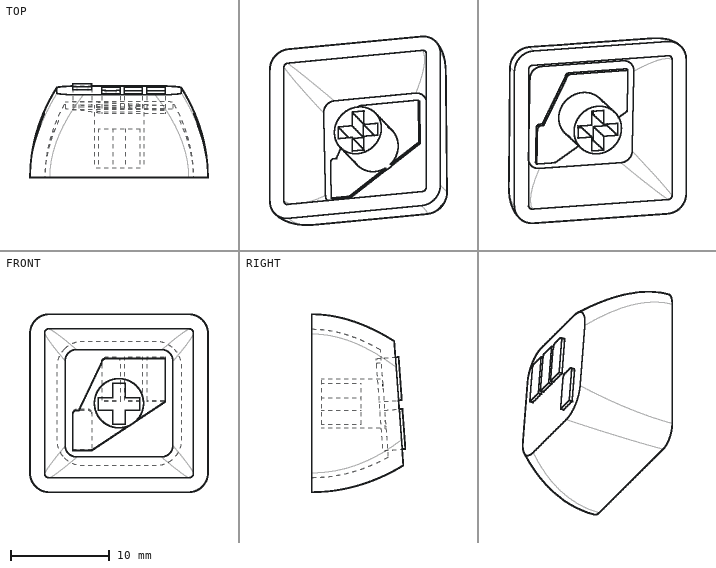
import cadquery as cq
import math

RIM_WIDTH = 18.1
RIM_CORNER = 2.0
FACE_WIDTH = 12.67
FACE_CORNER = 2.66
FACE_HEIGHT = 8.87
FACE_TILT = 4.2

WALL = 1.5
OPENING_WIDTH = RIM_WIDTH - 2 * WALL
OPENING_CORNER = 0.4
ROOF_WIDTH = 10.93
ROOF_CORNER = 1.15
ROOF_THICKNESS = WALL
ROOF_HEIGHT = FACE_HEIGHT - ROOF_THICKNESS

LOFT_STEPS = 5
NARROWING_POWER = 2
OUTSIDE_CORNER_POWER = 2
CAVITY_CORNER_POWER = 1

STEM_DIAMETER = 5.0
STEM_RECESS = 1.0
SOCKET_LENGTH = 4.16
SOCKET_WIDTH = 1.25
SOCKET_DEPTH = 3.98
SOCKET_DROP = 0.07

PLATE_THICKNESS = 0.5
BLOCK_RISE = 0.33
INLAY_SIDE = 4.7
UPPER_ROW = (0.18, 4.58)
LOWER_ROW = (-4.8, -0.7)
UPPER_BLOCKS = ((-1.77, 0.13), (0.52, 2.37), (2.82, INLAY_SIDE))
LOWER_BLOCKS = ((-INLAY_SIDE, -2.79),)
UPPER_ROUND = 0.45
LOWER_ROUND = 0.4
LEDGE_END = -4.07


def tilted_workplane(height, tilt):
    """Workplane across the centre line that faces the rim, with local x along +X and local y up."""
    lean = math.radians(tilt)
    return cq.Workplane(
        cq.Plane(
            origin=(0, height, 0),
            xDir=(1, 0, 0),
            normal=(0, -math.cos(lean), -math.sin(lean)),
        )
    )


def curved_loft(height, start_width, end_width, start_corner, end_corner, corner_power):
    """Solid from the rim to a tilted end, narrowing along a parabola, with changing corners."""
    sections = []
    for step in range(LOFT_STEPS + 1):
        rise = step / LOFT_STEPS
        width = start_width + (end_width - start_width) * rise**NARROWING_POWER
        corner = start_corner + (end_corner - start_corner) * rise**corner_power
        square = tilted_workplane(height * rise, FACE_TILT * rise).rect(width, width).val()
        sections.append(square.fillet2D(corner, square.Vertices()))
    return cq.Workplane(cq.Solid.makeLoft(sections))


def make_block(left, right, bottom, top):
    """Rectangular block from the roof to above the key face."""
    return (
        tilted_workplane(ROOF_HEIGHT, FACE_TILT)
        .center((left + right) / 2, (bottom + top) / 2)
        .rect(right - left, top - bottom)
        .extrude(-(ROOF_THICKNESS + BLOCK_RISE))
    )


def round_upper_corners(block, radius):
    """Round the two upper edges that run through the roof."""
    through_roof = cq.selectors.ParallelDirSelector(tilted_workplane(ROOF_HEIGHT, FACE_TILT).plane.zDir)
    return block.edges(through_roof).edges(">Z").fillet(radius)


def make_blocks():
    """All the blocks, where the first of each row has rounded upper corners."""
    blocks = cq.Workplane()
    rows = ((UPPER_BLOCKS, UPPER_ROW, UPPER_ROUND), (LOWER_BLOCKS, LOWER_ROW, LOWER_ROUND))
    for columns, (bottom, top), radius in rows:
        for number, (left, right) in enumerate(columns):
            block = make_block(left, right, bottom, top)
            if number == 0:
                block = round_upper_corners(block, radius)
            blocks = blocks.add(block)
    return blocks.combine()


def make_stem():
    """Round stem from above the rim to half-way into the roof."""
    end = cq.Workplane("XZ", origin=(0, STEM_RECESS, 0))
    length = ROOF_HEIGHT + ROOF_THICKNESS / 2 - STEM_RECESS
    return end.circle(STEM_DIAMETER / 2).extrude(-length)


def make_socket():
    """Cross-shaped socket in the stem end."""
    end = cq.Workplane("XZ", origin=(0, STEM_RECESS, -SOCKET_DROP))
    level_bar = end.rect(SOCKET_LENGTH, SOCKET_WIDTH).extrude(-SOCKET_DEPTH)
    upright_bar = end.rect(SOCKET_WIDTH, SOCKET_LENGTH).extrude(-SOCKET_DEPTH)
    return level_bar.union(upright_bar)


def make_keycap(stem, blocks):
    """Hollow keycap with its stem, and openings in the roof for the blocks."""
    outside = curved_loft(
        FACE_HEIGHT, RIM_WIDTH, FACE_WIDTH, RIM_CORNER, FACE_CORNER, OUTSIDE_CORNER_POWER
    )
    cavity = curved_loft(
        ROOF_HEIGHT, OPENING_WIDTH, ROOF_WIDTH, OPENING_CORNER, ROOF_CORNER, CAVITY_CORNER_POWER
    )
    shell = outside.cut(cavity)
    return shell.union(stem).cut(make_socket()).cut(blocks)


def make_plate():
    """Plate under the roof that joins the blocks."""
    upper_left = UPPER_BLOCKS[0][0]
    lower_right = LOWER_BLOCKS[0][1]
    bottom, ledge = LOWER_ROW
    right_end, top = UPPER_ROW
    return (
        tilted_workplane(ROOF_HEIGHT, FACE_TILT)
        .moveTo(-INLAY_SIDE, bottom)
        .lineTo(lower_right, bottom)
        .lineTo(INLAY_SIDE, right_end)
        .lineTo(INLAY_SIDE, top)
        .lineTo(upper_left + UPPER_ROUND, top)
        .radiusArc((upper_left, top - UPPER_ROUND), -UPPER_ROUND)
        .lineTo(LEDGE_END, ledge)
        .lineTo(LOWER_ROUND - INLAY_SIDE, ledge)
        .radiusArc((-INLAY_SIDE, ledge - LOWER_ROUND), -LOWER_ROUND)
        .close()
        .extrude(PLATE_THICKNESS)
    )


def make_inlay(stem, blocks):
    """Plate with its blocks, cut away where the stem passes."""
    return make_plate().cut(stem).union(blocks)


stem = make_stem()
blocks = make_blocks()
keycap = make_keycap(stem, blocks)
inlay = make_inlay(stem, blocks)

result = cq.Compound.makeCompound([keycap.solids().val(), inlay.solids().val()])